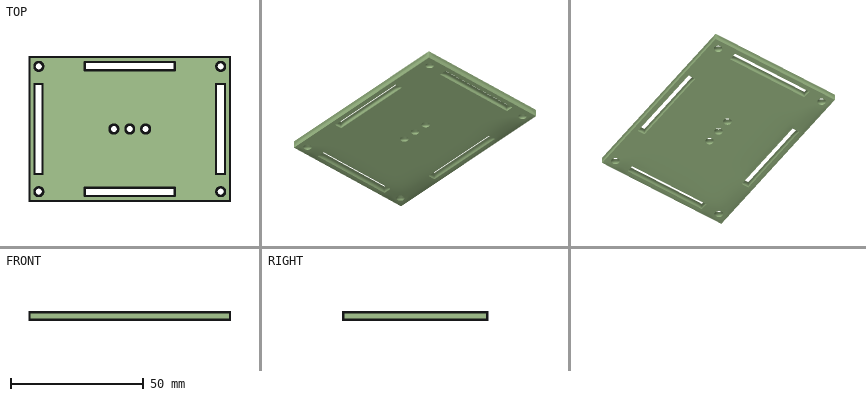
import cadquery as cq

plate_length = 76.0
plate_width = 54.6
plate_thickness = 3.0

edge_margin = 2.0

hole_diameter = 3.2
center_hole_count = 3
center_hole_pitch = 6.0

slot_length = 34.0
left_slot_width = 3.0
right_slot_width = 3.37
long_edge_slot_width = 3.0

corner_hole_x = plate_length / 2 - edge_margin - hole_diameter / 2
corner_hole_y = plate_width / 2 - edge_margin - hole_diameter / 2
left_slot_x = -plate_length / 2 + edge_margin + left_slot_width / 2
right_slot_x = plate_length / 2 - edge_margin - right_slot_width / 2
long_edge_slot_y = plate_width / 2 - edge_margin - long_edge_slot_width / 2


def make_plate():
    return cq.Workplane("XY").box(
        plate_length, plate_width, plate_thickness, centered=(True, True, False)
    )


def cut_holes(body):
    """Through holes: one at each corner and a row along X at the center."""
    corner_points = [
        (x_side * corner_hole_x, y_side * corner_hole_y)
        for x_side in (-1, 1)
        for y_side in (-1, 1)
    ]
    row_start = -center_hole_pitch * (center_hole_count - 1) / 2
    row_points = [(row_start + i * center_hole_pitch, 0) for i in range(center_hole_count)]
    return (
        body.faces(">Z")
        .workplane(origin=(0, 0, 0))
        .pushPoints(corner_points + row_points)
        .hole(hole_diameter)
    )


def cut_slot(body, center_x, center_y, size_x, size_y):
    """One square-cornered slot through the full thickness."""
    slot = (
        cq.Workplane("XY")
        .center(center_x, center_y)
        .rect(size_x, size_y)
        .extrude(plate_thickness)
    )
    return body.cut(slot)


result = make_plate()
result = cut_holes(result)
result = cut_slot(result, left_slot_x, 0, left_slot_width, slot_length)
result = cut_slot(result, right_slot_x, 0, right_slot_width, slot_length)
for y_side in (-1, 1):
    result = cut_slot(result, 0, y_side * long_edge_slot_y, slot_length, long_edge_slot_width)